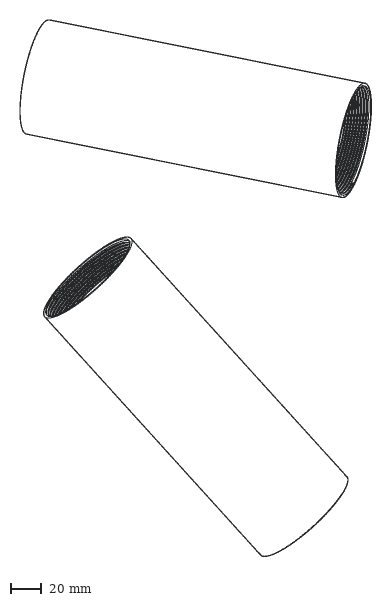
import cadquery as cq

overall_length = 214.9
thread_overhang = 0.5
tube_length = overall_length - thread_overhang
outer_radius = 37.7
bore_radius = 35.9

pitch = 2.0
turns = 8
thread_height = 0.97
crest_width = 0.25
base_width = 1.7
root_overlap = 0.2
thread_travel = pitch * turns


def make_tube():
    return cq.Workplane("YZ").circle(outer_radius).circle(bore_radius).extrude(tube_length)


def make_thread(start_x):
    """Helical ridge of trapezoidal section whose centreline starts at start_x."""
    root_radius = bore_radius + root_overlap
    crest_radius = bore_radius - thread_height
    helix = cq.Wire.makeHelix(pitch, thread_travel, bore_radius)
    ridge = (
        cq.Workplane("XZ")
        .polyline([
            (root_radius, -base_width / 2),
            (crest_radius, -crest_width / 2),
            (crest_radius, crest_width / 2),
            (root_radius, base_width / 2),
        ])
        .close()
        .sweep(cq.Workplane(obj=helix), isFrenet=True)
    )
    return ridge.rotate((0, 0, 0), (0, 1, 0), 90).translate((start_x, 0, 0))


near_thread_start = base_width / 2
far_thread_start = overall_length - base_width / 2 - thread_travel

result = (
    make_tube()
    .union(make_thread(near_thread_start))
    .union(make_thread(far_thread_start))
)